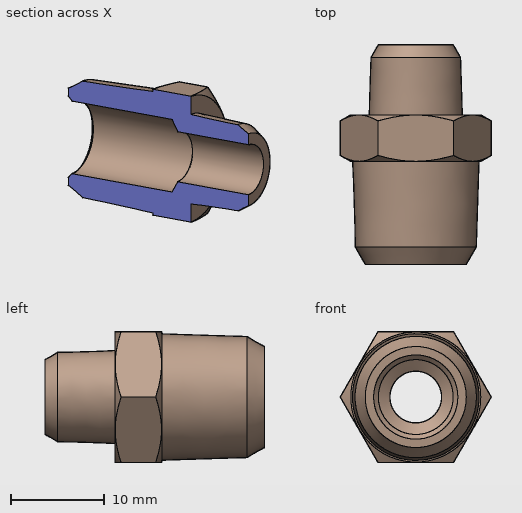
import cadquery as cq
import math


hex_across_flats = 14.0
hex_across_corners = hex_across_flats / math.cos(math.radians(30))
hex_length = 5.0
hex_face_radius = 6.95
hex_chamfer_slope = math.tan(math.radians(30))

taper_per_side = 1 / 32
tip_chamfer_slope = math.tan(math.radians(30))
large_length = 11.0
large_root_radius = 6.77
large_tip_radius = 5.4
small_length = 7.5
small_root_radius = 4.99
small_tip_radius = 4.0

through_radius = 2.75
bore_radius = 4.0
bore_mouth_radius = 4.5
bore_mouth_slope = math.tan(math.radians(45))
bore_depth = large_length + hex_length / 2
bore_cone_slope = math.tan(math.radians(59))

large_end_y = -large_length
small_end_y = hex_length + small_length


def revolve_profile(points):
    """Turn a closed (radius, y) outline about the Y axis."""
    return cq.Workplane("XY").polyline(points).close().revolve(360, (0, 0, 0), (0, 1, 0))


def tip_chamfer_length(root_radius, tip_radius, length):
    """Length of the tip chamfer, from where its cone meets the thread taper."""
    taper_end_radius = root_radius - length * taper_per_side
    return (taper_end_radius - tip_radius) / (tip_chamfer_slope - taper_per_side)


def thread_end(root_y, direction, root_radius, tip_radius, length):
    """Tapered end growing from root_y along +Y (direction 1) or -Y (direction -1)."""
    taper_length = length - tip_chamfer_length(root_radius, tip_radius, length)
    taper_tip_radius = root_radius - taper_length * taper_per_side
    return revolve_profile([
        (0, root_y),
        (root_radius, root_y),
        (taper_tip_radius, root_y + direction * taper_length),
        (tip_radius, root_y + direction * length),
        (0, root_y + direction * length),
    ])


def hexagon():
    """Hexagon with corners on the X axis and both faces chamfered by a cone."""
    prism = (
        cq.Workplane("XZ")
        .polygon(6, hex_across_corners)
        .extrude(-hex_length)
    )
    corner_radius = hex_across_corners / 2
    corner_drop = (corner_radius - hex_face_radius) * hex_chamfer_slope
    envelope = revolve_profile([
        (0, 0),
        (hex_face_radius, 0),
        (corner_radius, corner_drop),
        (corner_radius, hex_length - corner_drop),
        (hex_face_radius, hex_length),
        (0, hex_length),
    ])
    return prism.intersect(envelope)


def bore():
    """Stepped bore: chamfered mouth, wide bore, drill-point cone, through hole."""
    mouth_length = (bore_mouth_radius - bore_radius) / bore_mouth_slope
    cone_length = (bore_radius - through_radius) / bore_cone_slope
    cone_start_y = large_end_y + bore_depth
    return revolve_profile([
        (0, large_end_y),
        (bore_mouth_radius, large_end_y),
        (bore_radius, large_end_y + mouth_length),
        (bore_radius, cone_start_y),
        (through_radius, cone_start_y + cone_length),
        (through_radius, small_end_y),
        (0, small_end_y),
    ])


large_end = thread_end(0, -1, large_root_radius, large_tip_radius, large_length)
small_end = thread_end(hex_length, 1, small_root_radius, small_tip_radius, small_length)

result = hexagon().union(large_end).union(small_end).cut(bore())